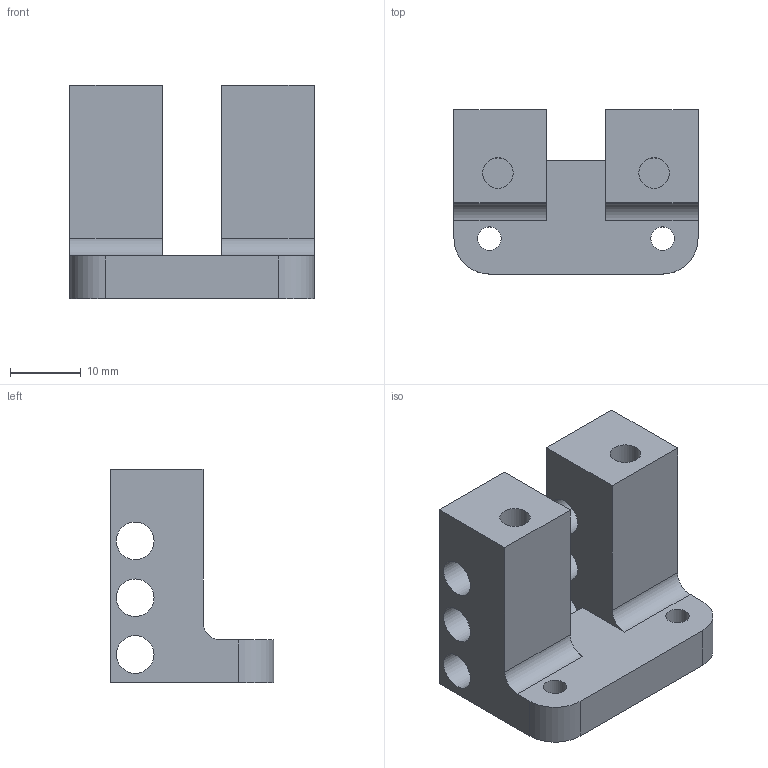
import cadquery as cq

width = 34.4
depth = 23.1
height = 30.02

base_thickness = 6.0
corner_radius = 5.0
mount_hole_diameter = 3.3

post_width = 13.0
post_depth = 13.1
post_fillet_radius = 2.5
gap_width = width - 2 * post_width
notch_depth = 7.1

top_hole_diameter = 4.3
top_hole_depth = 12.0
top_hole_side_offset = 6.2
top_hole_rear_offset = 8.9

cross_hole_diameter = 5.3
cross_hole_count = 3
cross_hole_pitch = 8.0
cross_hole_first_z = 3.95
cross_hole_rear_offset = 3.55


def make_bracket_body():
    """L-shaped side profile with a filleted inner corner, extruded over the full width."""
    post_front_y = depth - post_depth
    return (
        cq.Workplane("YZ", origin=(-width / 2, 0, 0))
        .moveTo(0, 0)
        .lineTo(depth, 0)
        .lineTo(depth, height)
        .lineTo(post_front_y, height)
        .lineTo(post_front_y, base_thickness + post_fillet_radius)
        .radiusArc((post_front_y - post_fillet_radius, base_thickness), post_fillet_radius)
        .lineTo(0, base_thickness)
        .close()
        .extrude(width)
    )


def round_front_corners(body):
    """Round the two vertical edges at the front of the base."""
    return body.edges("|Z").edges("<Y").fillet(corner_radius)


def cut_gap(body):
    """Separate the posts above the base and notch the rear of the base between them."""
    above_base = cq.Workplane("XY").box(gap_width, depth, height, centered=(True, False, False))
    above_base = above_base.translate((0, 0, base_thickness))
    rear_notch = cq.Workplane("XY").box(gap_width, notch_depth, height, centered=(True, False, False))
    rear_notch = rear_notch.translate((0, depth - notch_depth, 0))
    return body.cut(above_base).cut(rear_notch)


def cut_mount_holes(body):
    """Through holes concentric with the rounded front corners."""
    hole_x = width / 2 - corner_radius
    holes = (
        cq.Workplane("XY")
        .pushPoints([(-hole_x, corner_radius), (hole_x, corner_radius)])
        .circle(mount_hole_diameter / 2)
        .extrude(base_thickness)
    )
    return body.cut(holes)


def cut_top_holes(body):
    """Flat-bottomed blind holes going down from the top of each post."""
    hole_x = width / 2 - top_hole_side_offset
    hole_y = depth - top_hole_rear_offset
    holes = (
        cq.Workplane("XY", origin=(0, 0, height))
        .pushPoints([(-hole_x, hole_y), (hole_x, hole_y)])
        .circle(top_hole_diameter / 2)
        .extrude(-top_hole_depth)
    )
    return body.cut(holes)


def cut_cross_holes(body):
    """Vertical row of holes through both posts near their rear faces."""
    hole_y = depth - cross_hole_rear_offset
    centres = [(hole_y, cross_hole_first_z + i * cross_hole_pitch) for i in range(cross_hole_count)]
    holes = (
        cq.Workplane("YZ", origin=(-width / 2, 0, 0))
        .pushPoints(centres)
        .circle(cross_hole_diameter / 2)
        .extrude(width)
    )
    return body.cut(holes)


bracket = make_bracket_body()
bracket = round_front_corners(bracket)
bracket = cut_gap(bracket)
bracket = cut_mount_holes(bracket)
bracket = cut_top_holes(bracket)
result = cut_cross_holes(bracket)